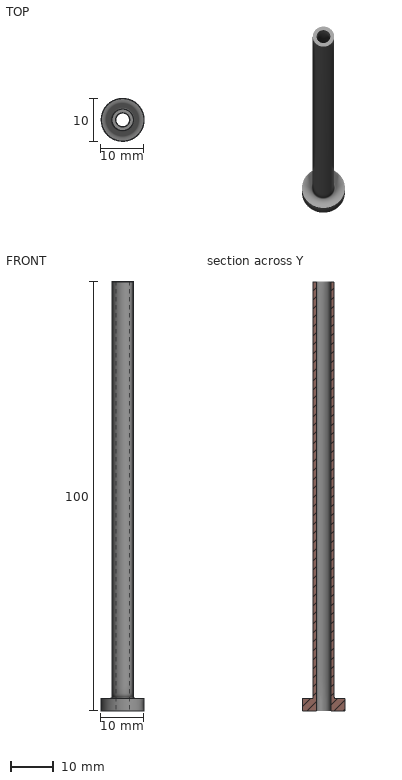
import cadquery as cq

total_length = 100.0
head_diameter = 10.0
head_height = 3.0
tube_diameter = 5.0
bore_diameter = 3.2
fillet_radius = 0.3

head = cq.Workplane("XY").circle(head_diameter / 2).extrude(head_height)
tube = cq.Workplane("XY").circle(tube_diameter / 2).extrude(total_length)
body = head.union(tube)

corner_reach = tube_diameter / 2 + fillet_radius
corner_box = cq.selectors.BoxSelector(
    (-corner_reach, -corner_reach, head_height - fillet_radius),
    (corner_reach, corner_reach, head_height + fillet_radius),
    boundingbox=True,
)
body = body.edges(corner_box).fillet(fillet_radius)

bore = cq.Workplane("XY").circle(bore_diameter / 2).extrude(total_length)
result = body.cut(bore)